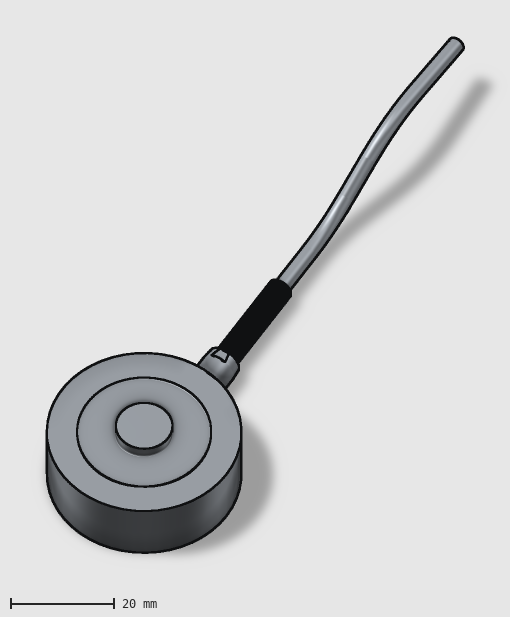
import cadquery as cq
import math


housing_diameter = 37.59
housing_height = 13.8
recess_diameter = 25.91
recess_depth = 0.4
recess_fillet = 0.3
floor_height = housing_height - recess_depth

button_radius = 10.92 / 2
button_edge_height = 15.85
button_top_height = 15.95
button_fillet = 0.3

fitting_diameter = 7.06
axis_height = fitting_diameter / 2
fitting_root = 18.4
barrel_end = 26.7
crown_end = 28.95
crown_end_diameter = 6.65
crown_flat_spacing = 6.35
wrench_flat_spacing = 6.0
wrench_flat_end = 22.5

coil_diameter = 4.8
wire_diameter = 0.4318
coil_bore = coil_diameter - 2 * wire_diameter
coil_turns = 47
coil_start = crown_end
coil_end = coil_start + coil_turns * wire_diameter

overall_length = 130.02
cable_radius = 3.3 / 2
cable_tip = overall_length - housing_diameter / 2
bend_radius = 25.4
first_bend_start = 59.4
climb_angle = math.radians(30)
climb_length = 8.57
droop_angle = math.radians(8)
cable_tilt = 5.5


def make_button():
    """Round button with a filleted foot and a slightly domed top, standing on the recess floor."""
    dome_rise = button_top_height - button_edge_height
    dome_radius = (button_radius**2 + dome_rise**2) / (2 * dome_rise)
    half_angle = math.asin(button_radius / dome_radius) / 2
    dome_midpoint = (
        dome_radius * math.sin(half_angle),
        button_top_height - dome_radius * (1 - math.cos(half_angle)),
    )
    foot_radius = button_radius + button_fillet
    fillet_inset = button_fillet * (1 - math.sqrt(0.5))
    fillet_midpoint = (button_radius + fillet_inset, floor_height + fillet_inset)
    foot_bottom = floor_height / 2
    return (
        cq.Workplane("XZ")
        .moveTo(0, foot_bottom)
        .lineTo(foot_radius, foot_bottom)
        .lineTo(foot_radius, floor_height)
        .threePointArc(fillet_midpoint, (button_radius, floor_height + button_fillet))
        .lineTo(button_radius, button_edge_height)
        .threePointArc(dome_midpoint, (0, button_top_height))
        .close()
        .revolve(360, (0, 0, 0), (0, 1, 0))
    )


def flat_cutters(spacing, start, end):
    """Blocks above and below the fitting axis that leave two flats the given spacing apart."""
    size = 2 * fitting_diameter
    cutters = cq.Workplane("XY")
    for side in (-1, 1):
        height = axis_height + side * (spacing + size) / 2
        block = cq.Workplane("XY").box(size, end - start, size)
        cutters = cutters.union(block.translate((0, (start + end) / 2, height)))
    return cutters


def make_fitting():
    """Barrel with wrench flats and a tapered crown with two narrow flats."""
    barrel = (
        cq.Workplane("XZ", origin=(0, fitting_root, axis_height))
        .circle(fitting_diameter / 2)
        .extrude(fitting_root - barrel_end)
    )
    barrel = barrel.cut(flat_cutters(wrench_flat_spacing, fitting_root, wrench_flat_end))
    crown = (
        cq.Workplane("XZ", origin=(0, barrel_end, axis_height))
        .circle(fitting_diameter / 2)
        .workplane(offset=barrel_end - crown_end)
        .circle(crown_end_diameter / 2)
        .loft()
    )
    crown = crown.cut(flat_cutters(crown_flat_spacing, barrel_end, crown_end))
    return barrel.union(crown)


def make_housing():
    """Round housing with a shallow top recess, joined with its button and its cable fitting."""
    body = cq.Workplane("XY").circle(housing_diameter / 2).extrude(housing_height)
    recess = cq.Workplane("XY", origin=(0, 0, floor_height)).circle(recess_diameter / 2).extrude(recess_depth)
    recess = recess.faces("<Z").edges().fillet(recess_fillet)
    return body.cut(recess).union(make_button()).union(make_fitting()).solids()


def make_coil():
    """Close-wound coil as one sleeve: a plain bore outside which every turn is a rounded rib."""
    crest = coil_diameter / 2
    valley = crest - wire_diameter / 2
    outline = cq.Workplane("XY").moveTo(coil_bore / 2, coil_start).lineTo(valley, coil_start)
    for turn in range(coil_turns):
        turn_start = coil_start + turn * wire_diameter
        outline = outline.threePointArc(
            (crest, turn_start + wire_diameter / 2), (valley, turn_start + wire_diameter)
        )
    outline = outline.lineTo(coil_bore / 2, coil_end).close()
    return outline.revolve(360, (0, 0, 0), (0, 1, 0)).translate((0, 0, axis_height))


def along_bend(start, start_angle, angle, turn):
    """Point of a bend where the cable slope is angle; turn is 1 for bending up and -1 for down."""
    radius = turn * bend_radius
    return (
        start[0] + radius * (math.sin(angle) - math.sin(start_angle)),
        start[1] + radius * (math.cos(start_angle) - math.cos(angle)),
    )


def make_cable():
    """Round cable: straight, bent up, straight climb, bent over and straight down to its tip."""
    bend_1_start = (first_bend_start, 0)
    bend_1_middle = along_bend(bend_1_start, 0, climb_angle / 2, 1)
    bend_1_end = along_bend(bend_1_start, 0, climb_angle, 1)
    bend_2_start = (
        bend_1_end[0] + climb_length * math.cos(climb_angle),
        bend_1_end[1] + climb_length * math.sin(climb_angle),
    )
    bend_2_middle = along_bend(bend_2_start, climb_angle, (climb_angle - droop_angle) / 2, -1)
    bend_2_end = along_bend(bend_2_start, climb_angle, -droop_angle, -1)
    tip_y = cable_tip - cable_radius * math.sin(droop_angle)
    tip = (tip_y, bend_2_end[1] - (tip_y - bend_2_end[0]) * math.tan(droop_angle))
    path = (
        cq.Workplane("YZ")
        .moveTo(coil_start, 0)
        .lineTo(*bend_1_start)
        .threePointArc(bend_1_middle, bend_1_end)
        .lineTo(*bend_2_start)
        .threePointArc(bend_2_middle, bend_2_end)
        .lineTo(*tip)
    )
    cable = cq.Workplane("XZ", origin=(0, coil_start, 0)).circle(cable_radius).sweep(path)
    return cable.rotate((0, 0, 0), (0, 1, 0), cable_tilt).translate((0, 0, axis_height))


housing = make_housing()
coil = make_coil()
cable = make_cable()

result = cq.Compound.makeCompound([housing.val(), coil.val(), cable.val()])